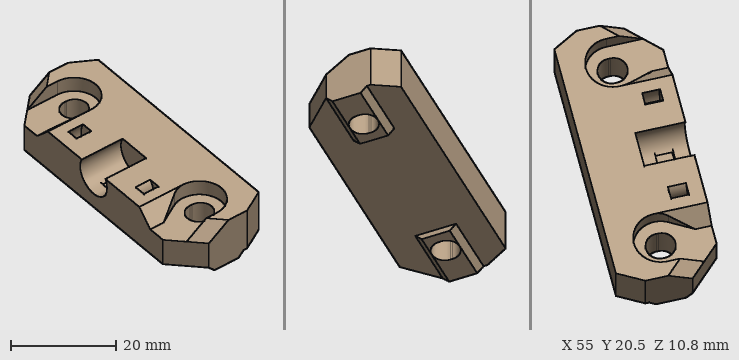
import cadquery as cq
import math

length = 55.0
width = 20.5
height = 10.8
half_length = length / 2
back_corner_x = 2.85
back_corner_y = 5.05
front_corner = 6.2

foot_height = 1.3
foot_length = 13.0
foot_base_width = 8.45

hole_x = 19.25
hole_y = 10.45
hole_width = 5.35
hole_length = 5.8
pocket_radius = 5.2
pocket_depth = 3.35
pocket_floor = height - pocket_depth
tangent_angle = math.radians(30)

cradle_radius = 4.1
cradle_axis_z = 8.8
cradle_length = 9.85

strap_inner_radius = 3.5
strap_thickness = 2.1
strap_end_x = 6.55
strap_axis_z = 8.3
strap_front = 3.0
strap_width = 3.5


def make_body():
    """Six-cornered block with 45 degree bevels above its front corners."""
    outline = [
        (-half_length + front_corner, 0),
        (half_length - front_corner, 0),
        (half_length, front_corner),
        (half_length, width - back_corner_y),
        (half_length - back_corner_x, width),
        (-half_length + back_corner_x, width),
        (-half_length, width - back_corner_y),
        (-half_length, front_corner),
    ]
    block = cq.Workplane("XY").workplane(offset=foot_height).polyline(outline).close()
    block = block.extrude(height - foot_height)
    front_corner_tops = cq.selectors.BoxSelector(
        (-length, 0.05, height - 0.05), (length, front_corner - 0.05, height + 0.05)
    )
    return block.edges(front_corner_tops).chamfer(pocket_depth)


def make_foot():
    """Left foot with 45 degree sides."""
    y_front = hole_y - foot_base_width / 2
    y_back = hole_y + foot_base_width / 2
    profile = [
        (y_front, foot_height),
        (y_front + foot_height, 0),
        (y_back - foot_height, 0),
        (y_back, foot_height),
    ]
    foot = cq.Workplane("YZ").workplane(offset=-half_length).polyline(profile).close()
    return foot.extrude(foot_length)


def make_mount_cut():
    """Left pocket, its sloping inner side and the mounting hole."""
    inner_x = -hole_x + pocket_radius
    outer_x = -hole_x - pocket_radius
    slope_foot_x = inner_x - pocket_depth
    tangent_x = -hole_x + pocket_radius * math.cos(tangent_angle)
    tangent_y = hole_y - pocket_radius * math.sin(tangent_angle)
    bend_y = tangent_y - (tangent_x - slope_foot_x) / math.tan(tangent_angle)
    pocket = (
        cq.Workplane("XY").workplane(offset=pocket_floor)
        .moveTo(outer_x, 0)
        .lineTo(slope_foot_x, 0)
        .lineTo(slope_foot_x, bend_y)
        .lineTo(tangent_x, tangent_y)
        .threePointArc((-hole_x, hole_y + pocket_radius), (outer_x, hole_y))
        .close()
        .extrude(pocket_depth)
    )
    slope_profile = [(slope_foot_x, pocket_floor), (inner_x, height), (slope_foot_x, height)]
    slope = cq.Workplane("XZ").polyline(slope_profile).close().extrude(-hole_y)
    hole = (
        cq.Workplane("XY").center(-hole_x, hole_y)
        .slot2D(hole_length, hole_width, 90)
        .extrude(height)
    )
    return pocket.union(slope).union(hole)


def make_strap_solid(radius):
    """Round-ended bar along X, used for both faces of the strap tunnel."""
    return (
        cq.Workplane("XZ", origin=(0, strap_front, strap_axis_z))
        .slot2D(2 * (strap_end_x + radius), 2 * radius)
        .extrude(-strap_width)
    )


def make_strap_channel():
    """Round-ended loop; its upper run lies above the block."""
    outer = make_strap_solid(strap_inner_radius + strap_thickness)
    return outer.cut(make_strap_solid(strap_inner_radius))


foot = make_foot()
mount_cut = make_mount_cut()
cradle = cq.Workplane("XZ", origin=(0, 0, cradle_axis_z)).circle(cradle_radius).extrude(-cradle_length)

result = make_body()
for half in (foot, foot.mirror("YZ")):
    result = result.union(half)
for half in (mount_cut, mount_cut.mirror("YZ")):
    result = result.cut(half)
result = result.cut(cradle).cut(make_strap_channel())